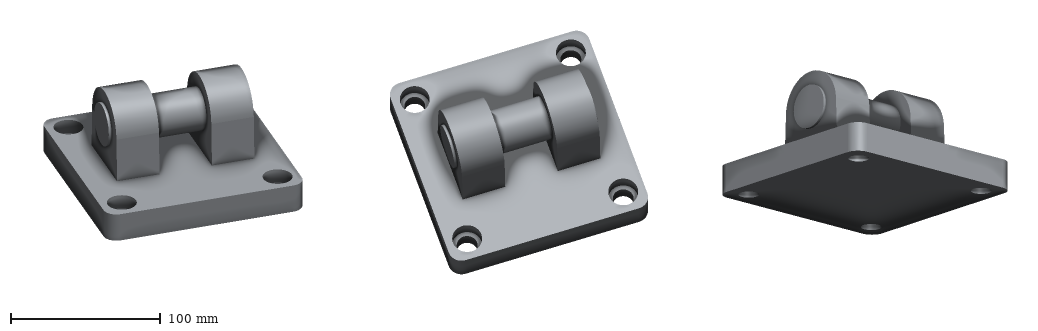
import cadquery as cq
import math

plate_side = 140.0
plate_thickness = 20.0
corner_radius = 9.0

hole_spacing = 110.0
hole_diameter = 14.0
counterbore_diameter = 20.0
counterbore_depth = 10.0

lug_radius = 25.0
lug_thickness = 30.0
lug_gap = 37.0
lug_foot_width = 52.5
pin_height = 50.0

pin_diameter = 30.0
pin_overhang = 2.0


def make_plate():
    """Rounded square plate, underside at Z = 0, with four counterbored holes."""
    plate = (
        cq.Workplane("XY")
        .rect(plate_side, plate_side)
        .extrude(plate_thickness)
        .edges("|Z")
        .fillet(corner_radius)
    )
    return (
        plate.faces(">Z")
        .workplane()
        .rect(hole_spacing, hole_spacing, forConstruction=True)
        .vertices()
        .cboreHole(hole_diameter, counterbore_diameter, counterbore_depth)
    )


def make_lug(center_y):
    """Tapered lug whose straight sides run tangent into its round top."""
    half_foot = lug_foot_width / 2
    rise = pin_height - plate_thickness
    foot_distance = math.hypot(half_foot, rise)
    tangent_angle = math.acos(lug_radius / foot_distance) - math.atan2(rise, half_foot)
    tangent_x = lug_radius * math.cos(tangent_angle)
    tangent_z = pin_height + lug_radius * math.sin(tangent_angle)
    return (
        cq.Workplane("XZ", origin=(0, center_y + lug_thickness / 2, 0))
        .moveTo(-half_foot, plate_thickness)
        .lineTo(half_foot, plate_thickness)
        .lineTo(tangent_x, tangent_z)
        .threePointArc((0, pin_height + lug_radius), (-tangent_x, tangent_z))
        .close()
        .extrude(lug_thickness)
    )


def make_pin():
    """Pin along Y, standing slightly proud of both outer lug faces."""
    length = lug_gap + 2 * (lug_thickness + pin_overhang)
    return (
        cq.Workplane("XZ", origin=(0, length / 2, pin_height))
        .circle(pin_diameter / 2)
        .extrude(length)
    )


lug_offset = (lug_gap + lug_thickness) / 2

result = make_plate()
for side in (-1, 1):
    result = result.union(make_lug(side * lug_offset))
result = result.union(make_pin())